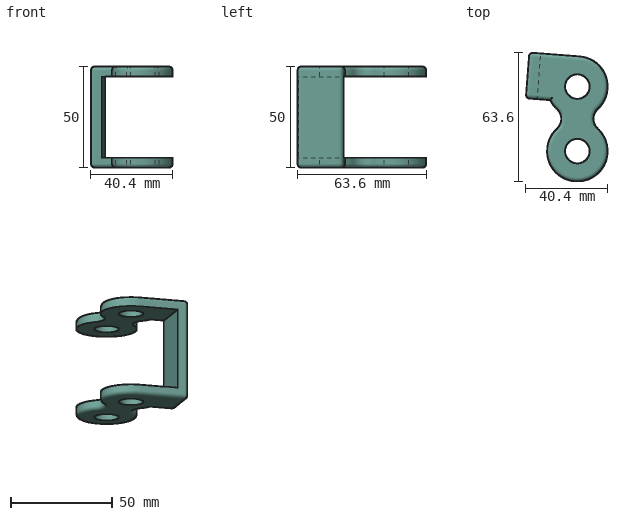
import cadquery as cq
import math

height = 50.0
plate_thickness = 5.0
wall_thickness = 5.5
lobe_radius = 15.0
hole_diameter = 12.0
lobe_spacing = 31.85
neck_width = 16.0
tab_tilt = 4.4
tab_reach = 25.0
tab_side = 7.75
edge_radius = 2.0

tab_width = lobe_radius + tab_side
lobe_centers = [(0, 0), (0, lobe_spacing)]

half_spacing = lobe_spacing / 2
half_neck = neck_width / 2
neck_radius = (half_spacing**2 + half_neck**2 - lobe_radius**2) / (2 * (lobe_radius - half_neck))
neck_center_x = half_neck + neck_radius
tangent_share = lobe_radius / (lobe_radius + neck_radius)
tangent_x = neck_center_x * tangent_share
tangent_y = half_spacing * tangent_share


def tab_block():
    """Tilted block starting at the outer wall face; its rear side is tangent to the rear lobe."""
    return (
        cq.Workplane("XY")
        .box(tab_reach, tab_width, height, centered=False)
        .translate((-tab_reach, -tab_side, 0))
        .rotate((0, 0, 0), (0, 0, 1), -tab_tilt)
        .translate((0, lobe_spacing, 0))
    )


def link_body():
    """Two round lobes joined by the waisted neck, over the full height."""
    upper_y = lobe_spacing - tangent_y
    neck = (
        cq.Workplane("XY")
        .moveTo(0, 0)
        .lineTo(tangent_x, tangent_y)
        .threePointArc((half_neck, half_spacing), (tangent_x, upper_y))
        .lineTo(0, lobe_spacing)
        .lineTo(-tangent_x, upper_y)
        .threePointArc((-half_neck, half_spacing), (-tangent_x, tangent_y))
        .close()
        .extrude(height)
    )
    lobes = cq.Workplane("XY").pushPoints(lobe_centers).circle(lobe_radius).extrude(height)
    return lobes.union(neck)


def inner_gap():
    """Open space between the plates, ending at the inner face of the wall."""
    gap_size = 3 * (lobe_spacing + lobe_radius)
    return (
        cq.Workplane("XY")
        .box(gap_size, gap_size, height - 2 * plate_thickness, centered=(False, True, False))
        .translate((wall_thickness - tab_reach, 0, plate_thickness))
        .rotate((0, 0, 0), (0, 0, 1), -tab_tilt)
        .translate((0, lobe_spacing, 0))
    )


body = link_body().union(tab_block())
tilt = math.radians(tab_tilt)
wall_direction = cq.Vector(-math.cos(tilt), math.sin(tilt), 0)
wall_face = cq.selectors.DirectionMinMaxSelector(wall_direction, True)
body = body.faces(wall_face).edges("|Z").fillet(edge_radius)
body = body.faces("<Z or >Z").edges().fillet(edge_radius)

holes = cq.Workplane("XY").pushPoints(lobe_centers).circle(hole_diameter / 2).extrude(height)
result = body.cut(inner_gap()).cut(holes)